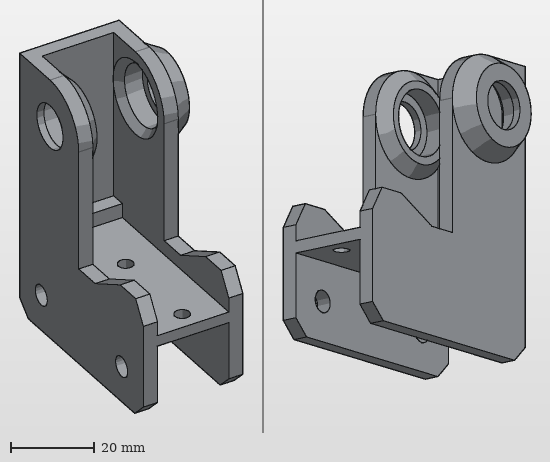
import cadquery as cq
import math

length = 57.0
width = 28.0
height = 73.65
wall = 4.0
web_bottom = 20.0
floor_top = 23.05
inner_gap = width - 2 * wall

corner = 4.0
hub_x = 14.0
hub_radius = 13.25
hub_z = height - hub_radius
arm_edge = hub_x + hub_radius
shoulder_z = 27.0
crest_z = 33.0
ramp_start = 34.8
ramp_end = 46.3
crest_end = 53.5

step_width = 4.05
step_height = 4.0

hub_tip_radius = 10.25
inner_hub_height = 3.0
outer_hub_height = 5.0
hinge_diameter = 12.0
hub_bore_diameter = 16.5
total_depth = width + outer_hub_height
socket_depth = 2.0
hub_lip = 2.0

pin_diameter = 5.5
pin_z = 10.0
pin_positions = [10.0, 47.0]
floor_hole_diameter = 4.0
floor_hole_positions = [25.9, 51.9]


def side_wall(y):
    """L-shaped plate with its -Y face at y, growing toward +Y."""
    diagonal = hub_radius * math.sqrt(0.5)
    return (
        cq.Workplane("XZ", origin=(0, y, 0))
        .moveTo(corner, 0)
        .lineTo(length - corner, 0)
        .lineTo(length, corner)
        .lineTo(length, shoulder_z)
        .lineTo(crest_end, crest_z)
        .lineTo(ramp_end, crest_z)
        .lineTo(ramp_start, shoulder_z)
        .lineTo(arm_edge, shoulder_z)
        .lineTo(arm_edge, hub_z)
        .threePointArc((hub_x + diagonal, hub_z + diagonal), (hub_x, height))
        .lineTo(0, height)
        .lineTo(0, corner)
        .close()
        .extrude(-wall)
    )


def box(x_size, y_size, z_size, corner_point):
    return cq.Workplane("XY").box(x_size, y_size, z_size, centered=False).translate(corner_point)


def hinge_cone(y, depth, base_radius, tip_radius):
    """Cone on the hinge axis tapering from y toward +Y."""
    return cq.Workplane(
        cq.Solid.makeCone(
            base_radius, tip_radius, depth, cq.Vector(hub_x, y, hub_z), cq.Vector(0, 1, 0)
        )
    )


def cross_hole(x, z, diameter, y, depth):
    """Cylinder along +Y starting at y."""
    return cq.Workplane("XZ", origin=(x, y, z)).circle(diameter / 2).extrude(-depth)


back_inner_face = width - wall
body = side_wall(0).union(side_wall(back_inner_face))
body = body.union(box(wall, inner_gap, height - web_bottom, (0, wall, web_bottom)))
body = body.union(box(length, inner_gap, floor_top - web_bottom, (0, wall, web_bottom)))
body = body.union(box(step_width, inner_gap, step_height, (wall, wall, floor_top)))

body = body.union(hinge_cone(wall, inner_hub_height, hub_radius, hub_tip_radius))
body = body.union(hinge_cone(width, outer_hub_height, hub_radius, hub_tip_radius))
body = body.cut(box(wall, total_depth, height, (-wall, 0, 0)))

body = body.cut(cross_hole(hub_x, hub_z, hinge_diameter, 0, total_depth))
front_bore_depth = wall + inner_hub_height - hub_lip
body = body.cut(cross_hole(hub_x, hub_z, hub_bore_diameter, hub_lip, front_bore_depth))
back_bore_depth = total_depth - hub_lip - back_inner_face
body = body.cut(cross_hole(hub_x, hub_z, hub_bore_diameter, back_inner_face, back_bore_depth))

body = body.cut(hinge_cone(back_inner_face, socket_depth, hub_tip_radius, hub_bore_diameter / 2))

for x in pin_positions:
    body = body.cut(cross_hole(x, pin_z, pin_diameter, 0, wall))

for x in floor_hole_positions:
    drill = cq.Workplane("XY", origin=(x, width / 2, web_bottom)).circle(floor_hole_diameter / 2)
    body = body.cut(drill.extrude(floor_top - web_bottom))

result = body